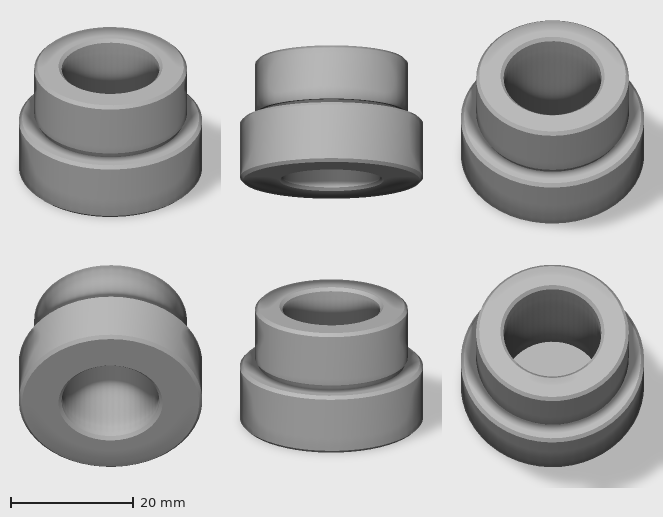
import cadquery as cq

flange_diameter = 30.0
flange_height = 10.0
total_height = 20.0
spigot_diameter = 25.0
relief_diameter = 24.0
relief_width = 1.02
bore_diameter = 16.0
edge_chamfer = 0.5


def cylinder(diameter, bottom, top):
    """Solid cylinder on the Z axis between two heights."""
    return cq.Workplane("XY").workplane(offset=bottom).circle(diameter / 2).extrude(top - bottom)


flange = cylinder(flange_diameter, 0, flange_height).edges().chamfer(edge_chamfer)

relief_top = flange_height + relief_width
relief = cylinder(relief_diameter, flange_height, relief_top)

spigot = cylinder(spigot_diameter, relief_top, total_height).faces(">Z").edges().chamfer(edge_chamfer)

bore = cylinder(bore_diameter, 0, total_height)
body = flange.union(relief).union(spigot).cut(bore)
result = body.faces("<Z or >Z").edges("%CIRCLE").edges(
    cq.selectors.RadiusNthSelector(0)
).chamfer(edge_chamfer)